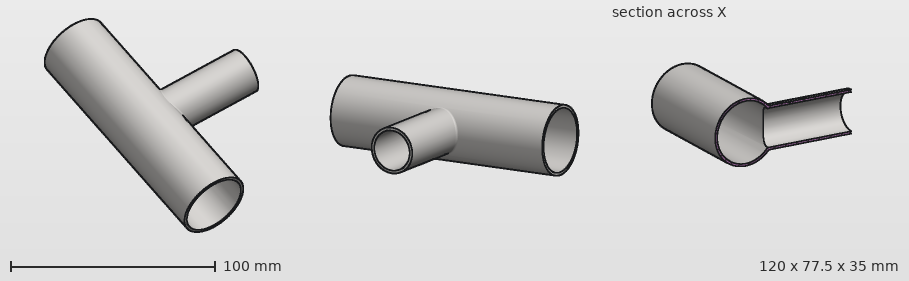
import cadquery as cq

run_length = 120.0
run_outer_diameter = 35.0
run_bore_diameter = 32.0

branch_reach = 60.0
branch_outer_diameter = 23.0
branch_bore_diameter = 20.0

junction_fillet_radius = 1.0


def run_cylinder(diameter):
    """Cylinder along X, centred on the origin."""
    return cq.Workplane("YZ").circle(diameter / 2).extrude(run_length / 2, both=True)


def branch_cylinder(diameter):
    """Cylinder along +Y, from the main pipe axis to the branch end face."""
    return cq.Workplane("XZ").circle(diameter / 2).extrude(-branch_reach)


outer_tee = run_cylinder(run_outer_diameter).union(branch_cylinder(branch_outer_diameter))
junction_zone = cq.selectors.BoxSelector(
    (-branch_outer_diameter, 0, -branch_outer_diameter),
    (branch_outer_diameter, run_outer_diameter / 2, branch_outer_diameter),
)
outer_tee = outer_tee.edges(junction_zone).fillet(junction_fillet_radius)

result = outer_tee.cut(run_cylinder(run_bore_diameter)).cut(branch_cylinder(branch_bore_diameter))